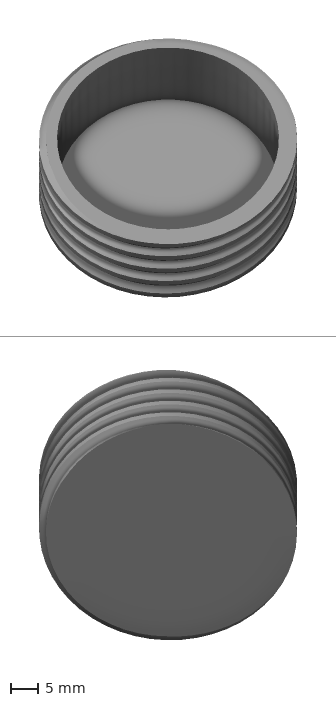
import cadquery as cq

outer_diameter = 47.7
root_diameter = 45.12
bore_diameter = 41.0
height = 18.75
floor_thickness = 2.0

pitch = 4.0
crest_width = 1.25
base_width = 2.6
root_overlap = 0.4
turns = 6

outer_radius = outer_diameter / 2
root_radius = root_diameter / 2


def make_cup_body():
    """Plain round cup, open at the top, with a flat floor."""
    bore_depth = height - floor_thickness
    return (
        cq.Workplane("XY")
        .circle(root_radius)
        .extrude(height)
        .faces(">Z")
        .workplane()
        .hole(bore_diameter, bore_depth)
    )


def make_thread():
    """Helical ridge whose crest is centred on the rim at the +X side, trimmed to the end faces."""
    start_z = height - (turns - 1) * pitch
    inner_radius = root_radius - root_overlap
    flank_spread = (base_width - crest_width) / (outer_radius - root_radius)
    buried_width = base_width + root_overlap * flank_spread
    helix = cq.Wire.makeHelix(pitch, turns * pitch, root_radius).translate(cq.Vector(0, 0, start_z))
    profile = cq.Workplane("XZ").polyline([
        (inner_radius, start_z - buried_width / 2),
        (outer_radius, start_z - crest_width / 2),
        (outer_radius, start_z + crest_width / 2),
        (inner_radius, start_z + buried_width / 2),
    ]).close()
    ridge = profile.sweep(cq.Workplane(obj=helix), isFrenet=True)
    trim_cylinder = cq.Workplane("XY").circle(outer_diameter).extrude(height)
    return ridge.intersect(trim_cylinder)


result = make_cup_body().union(make_thread())